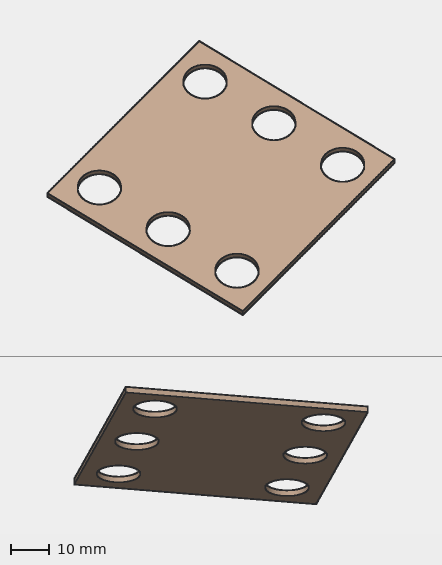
import cadquery as cq

side = 63.5
thickness = 1.6

hole_diameter = 11.2
holes_per_row = 3
row_count = 2
hole_pitch = 22.35
row_spacing = 44.2

plate = cq.Workplane("XY").box(side, side, thickness)

result = (
    plate.faces(">Z")
    .workplane()
    .rarray(hole_pitch, row_spacing, holes_per_row, row_count)
    .hole(hole_diameter)
)